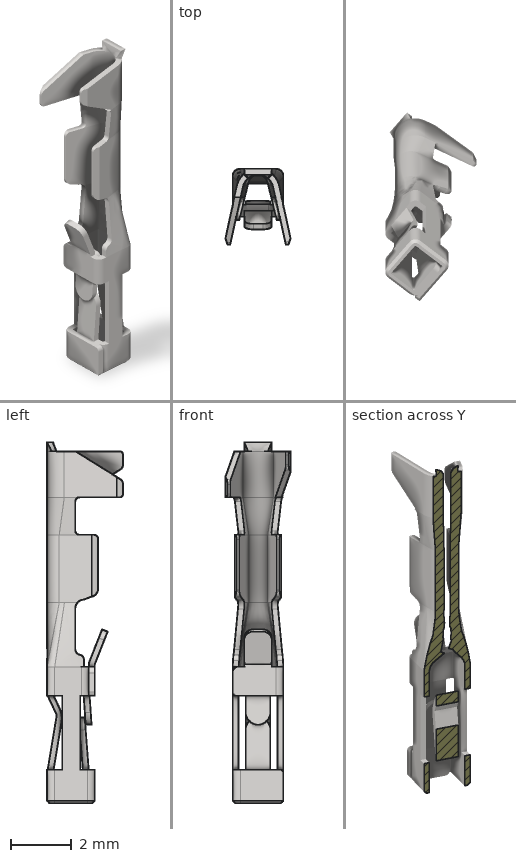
import cadquery as cq
import math


THICK = 0.2

LOWER_BOX_TOP = 1.11
UPPER_BOX_BOTTOM = 3.53
UPPER_BOX_TOP = 4.49
WIRE_BARREL_BOTTOM = 6.6
WIRE_BARREL_TOP = 8.82
WING_BOTTOM = 10.04
WING_TOP = 11.55
TOTAL_HEIGHT = 11.85
WING_MIDDLE = (WING_BOTTOM + WING_TOP) / 2

BOX_WIDTH = 1.67
BOX_DEPTH = 1.58
BOX_HALF = BOX_WIDTH / 2
BEND_RADIUS = 0.25
INNER_FLAP_DEPTH = BOX_DEPTH - THICK
INNER_FLAP_END = 0.52
TUCKED_ROUND = 0.18
FLAP_ROUND = 0.13
UPPER_FLAP_TOP_ROUND = 0.2
BOTTOM_CHAMFER = 0.1
RAIL_BACK = 0.5
RAIL_FRONT = 1.1

LEAF_HALF = 0.4
CONTACT_PEAK_DEPTH = 0.52
CONTACT_PEAK_HEIGHT = 2.9
CONTACT_END_INSET = 0.02
CONTACT_CREST_RADIUS = 0.77
LOCK_TIP_HEIGHT = 2.58
LOCK_TIP_DEPTH = 1.47
LOCK_ROOT_HEIGHT = 3.97
STOP_TIP_HEIGHT = 2.82
STOP_TIP_DEPTH = 1.25
LANCE_HALF = 0.45
LANCE_BEND_HEIGHT = 4.61
LANCE_LENGTH = 1.18
LANCE_TILT = 21.5
LANCE_ROUND = 0.3

WING_RADIUS = 0.71
WING_SPREAD = 12.3
WING_DEPTH = 2.5
WIRE_RADIUS = 0.52
WIRE_SPREAD = 13.8
WIRE_DEPTH = 1.68
WIRE_CREASE_DEPTH = 0.57
BEVEL_LENGTH = 0.21
BEVEL_SIZE = 0.12

NECK_DEPTH = 0.94
NECK_ROUND = 0.13
SHOULDER_DEPTH = 1.22
SHOULDER_BOTTOM = 4.7
SHOULDER_TOP = 5.06
WIRE_TOP_ROUND = 0.14
WIRE_TAPER_DEPTH = 1.21
WIRE_TAPER_HEIGHT = 6.68
WIRE_FLARE_START = 6.39
WIRE_TIP_BOTTOM = 6.78
WIRE_BOTTOM_ROUND = 0.28
WIRE_BOTTOM_RISE = 0.32
WIRE_BOTTOM_RUN = 0.23
WING_TIP_HEIGHT = 0.55
WING_ROUND = 0.12
WING_SLANT_ROUND = 0.2

LIP_HALF = 0.45


def side_plate(points, x_start, x_end):
    """Flat outline of (depth, height) points, extruded along X."""
    outline = [(-depth, height) for depth, height in points]
    sketch = cq.Workplane("YZ", origin=(x_start, 0, 0)).polyline(outline).close()
    return sketch.extrude(x_end - x_start)


def block(x_range, depth_range, height_range):
    """Rectangular block given by its limits in X, depth and height."""
    size = [abs(limits[1] - limits[0]) for limits in (x_range, depth_range, height_range)]
    corner = (min(x_range), -max(depth_range), min(height_range))
    return cq.Workplane("XY").box(*size, centered=False).translate(corner)



def channel(sheet, radius, spread, tip_depth, flat=0.0, crease=None, bevel=False):
    """Closed U section: back on Y = 0, bends of the outer radius and two straight arms.

    flat is half the width of a flat back; crease is a depth where each arm is split in two.
    """
    lean = math.radians(spread)
    bend_end = math.pi / 2 - lean

    def on_bend(side, bend_radius, angle):
        x = flat + bend_radius * math.sin(angle)
        return side * x, bend_radius * math.cos(angle) - radius

    def on_arm(side, bend_radius, depth):
        x, y = on_bend(1, bend_radius, bend_end)
        return side * (x + (depth + y) * math.tan(lean)), -depth

    def fold(sketch, bend_radius, first):
        """Run from the arm on the first side round the back to the crease of the other arm."""
        start = on_bend(first, bend_radius, bend_end)
        end = on_bend(-first, bend_radius, bend_end)
        if crease:
            sketch = sketch.lineTo(*on_arm(first, bend_radius, crease))
        sketch = sketch.lineTo(*start)
        if flat:
            flat_start = on_bend(first, bend_radius, 0)
            flat_end = on_bend(-first, bend_radius, 0)
            sketch = sketch.threePointArc(on_bend(first, bend_radius, bend_end / 2), flat_start)
            sketch = sketch.lineTo(*flat_end)
            sketch = sketch.threePointArc(on_bend(-first, bend_radius, bend_end / 2), end)
        else:
            sketch = sketch.threePointArc(on_bend(first, bend_radius, 0), end)
        if crease:
            sketch = sketch.lineTo(*on_arm(-first, bend_radius, crease))
        return sketch

    inner = radius - THICK
    outer_depth = tip_depth - BEVEL_LENGTH if bevel else tip_depth
    sketch = sheet.moveTo(*on_arm(-1, radius, outer_depth))
    sketch = fold(sketch, radius, -1).lineTo(*on_arm(1, radius, outer_depth))
    if bevel:
        sketch = sketch.lineTo(*on_arm(1, radius - BEVEL_SIZE, tip_depth))
    sketch = sketch.lineTo(*on_arm(1, inner, tip_depth))
    sketch = fold(sketch, inner, 1).lineTo(*on_arm(-1, inner, tip_depth))
    if bevel:
        sketch = sketch.lineTo(*on_arm(-1, radius - BEVEL_SIZE, tip_depth))
    return sketch.close()


def channel_at(height, *shape, **options):
    return channel(cq.Workplane("XY", origin=(0, 0, height)), *shape, **options)


def neck(bottom, top):
    """Ruled transition between two channel sections."""
    wires = [bottom.wires().val(), top.wires().val()]
    return cq.Workplane("XY").add(cq.Solid.makeLoft(wires, True))


def wing_outline(side):
    """Slanted wing; the right one is the left one turned upside down."""
    points = [
        (0, WING_TOP),
        (NECK_DEPTH, WING_TOP),
        (WING_DEPTH, WING_BOTTOM + WING_TIP_HEIGHT),
        (WING_DEPTH, WING_BOTTOM),
        (0, WING_BOTTOM),
    ]
    plate = side_plate(points, -WING_DEPTH, 0)
    plate = plate.edges("|X").edges("<Y").edges("<Z").fillet(WING_ROUND)
    slant_corner = (0, -WING_DEPTH, WING_BOTTOM + WING_TIP_HEIGHT)
    plate = plate.edges("|X").edges(cq.NearestToPointSelector(slant_corner)).fillet(WING_SLANT_ROUND)
    if side > 0:
        plate = plate.rotate((0, 0, WING_MIDDLE), (0, 1, WING_MIDDLE), 180)
    return plate


def wings():
    section = channel_at(WING_BOTTOM, WING_RADIUS, WING_SPREAD, WING_DEPTH, bevel=True)
    outline = wing_outline(-1).union(wing_outline(1))
    return section.extrude(WING_TOP - WING_BOTTOM).intersect(outline)


def wire_outline():
    """Side outline of the wire barrel with the necks above and below it."""
    taper_end = WIRE_DEPTH - WIRE_BOTTOM_RUN
    curve_middle = (SHOULDER_DEPTH + NECK_DEPTH) / 2, (SHOULDER_BOTTOM + SHOULDER_TOP) / 2
    diagonal = math.sqrt(0.5)
    sketch = (
        cq.Workplane("YZ", origin=(-BOX_WIDTH, 0, 0))
        .moveTo(0, UPPER_BOX_TOP)
        .lineTo(-SHOULDER_DEPTH, UPPER_BOX_TOP)
        .lineTo(-SHOULDER_DEPTH, SHOULDER_BOTTOM)
        .tangentArcPoint((-curve_middle[0], curve_middle[1]), relative=False)
        .tangentArcPoint((-NECK_DEPTH, SHOULDER_TOP), relative=False)
        .lineTo(-NECK_DEPTH, WIRE_FLARE_START)
        .threePointArc(
            (
                -WIRE_TAPER_DEPTH + (WIRE_TAPER_DEPTH - NECK_DEPTH) * diagonal,
                WIRE_FLARE_START + (WIRE_TAPER_HEIGHT - WIRE_FLARE_START) * diagonal,
            ),
            (-WIRE_TAPER_DEPTH, WIRE_TAPER_HEIGHT),
        )
        .lineTo(-taper_end, WIRE_TIP_BOTTOM)
        .radiusArc((-WIRE_DEPTH, WIRE_TIP_BOTTOM + WIRE_BOTTOM_RISE), WIRE_BOTTOM_ROUND)
        .lineTo(-WIRE_DEPTH, WIRE_BARREL_TOP - WIRE_TOP_ROUND)
        .radiusArc((WIRE_TOP_ROUND - WIRE_DEPTH, WIRE_BARREL_TOP), WIRE_TOP_ROUND)
        .lineTo(-NECK_DEPTH - NECK_ROUND, WIRE_BARREL_TOP)
        .radiusArc((-NECK_DEPTH, WIRE_BARREL_TOP + NECK_ROUND), -NECK_ROUND)
        .lineTo(-NECK_DEPTH, WING_BOTTOM - NECK_ROUND)
        .radiusArc((-NECK_DEPTH - NECK_ROUND, WING_BOTTOM), -NECK_ROUND)
        .lineTo(0, WING_BOTTOM)
        .close()
    )
    return sketch.extrude(2 * BOX_WIDTH)


def wire_barrel_and_necks():
    wire = (WIRE_RADIUS, WIRE_SPREAD)
    barrel = channel_at(WIRE_BARREL_BOTTOM, *wire, WIRE_DEPTH, bevel=True)
    barrel = barrel.extrude(WIRE_BARREL_TOP - WIRE_BARREL_BOTTOM)
    upper_neck = neck(
        channel_at(WIRE_BARREL_TOP, *wire, SHOULDER_DEPTH),
        channel_at(WING_BOTTOM, WING_RADIUS, WING_SPREAD, SHOULDER_DEPTH),
    )
    box_flat = BOX_HALF - BEND_RADIUS
    lower_neck = neck(
        channel_at(UPPER_BOX_TOP, BEND_RADIUS, 0, SHOULDER_DEPTH, flat=box_flat),
        channel_at(WIRE_BARREL_BOTTOM, *wire, SHOULDER_DEPTH, crease=WIRE_CREASE_DEPTH),
    )
    return barrel.union(upper_neck).union(lower_neck).intersect(wire_outline())


def lip():
    """Back edge of the wings flared from the round channel to a flat top edge."""
    inner = WING_RADIUS - THICK
    ratio = inner / WING_RADIUS
    end_y = math.sqrt(WING_RADIUS**2 - LIP_HALF**2)
    round_edge = (
        cq.Workplane("XY", origin=(0, 0, WING_TOP))
        .moveTo(-LIP_HALF, end_y - WING_RADIUS)
        .threePointArc((0, 0), (LIP_HALF, end_y - WING_RADIUS))
        .lineTo(LIP_HALF * ratio, end_y * ratio - WING_RADIUS)
        .threePointArc((0, -THICK), (-LIP_HALF * ratio, end_y * ratio - WING_RADIUS))
        .close()
    )
    flat_edge = (
        cq.Workplane("XY", origin=(0, 0, TOTAL_HEIGHT))
        .moveTo(-LIP_HALF, 0)
        .lineTo(LIP_HALF, 0)
        .lineTo(LIP_HALF, -THICK)
        .lineTo(-LIP_HALF, -THICK)
        .close()
    )
    return neck(round_edge, flat_edge)



def ring(depth, bottom, top):
    """Closed rectangular tube with bent corners."""
    tube = block((-BOX_HALF, BOX_HALF), (0, depth), (bottom, top)).edges("|Z").fillet(BEND_RADIUS)
    hollow = block((THICK - BOX_HALF, BOX_HALF - THICK), (THICK, depth - THICK), (bottom, top))
    return tube.cut(hollow.edges("|Z").fillet(BEND_RADIUS - THICK))


def folded_box(side, bottom, top, top_round):
    """Box whose outer flap comes from the wall on the given side and laps over the inner flap."""
    heights = (bottom, top)
    flap_half = block((0, side * BOX_HALF), (0, BOX_DEPTH), heights)
    tucked_half = block((0, -side * BOX_HALF), (0, BOX_DEPTH), heights)
    free_end = "<X" if side > 0 else ">X"
    free_end_top = cq.NearestToPointSelector((-side * BOX_HALF, -BOX_DEPTH, top))
    inner_end = ">X" if side > 0 else "<X"
    outer_flap = block((0, -side * BOX_HALF), (INNER_FLAP_DEPTH, BOX_DEPTH), heights)
    outer_flap = outer_flap.edges("|Y").edges(free_end).edges("<Z").fillet(FLAP_ROUND)
    outer_flap = outer_flap.edges("|Y").edges(free_end_top).fillet(top_round)
    inner_flap = block((0, side * INNER_FLAP_END), (INNER_FLAP_DEPTH - THICK, INNER_FLAP_DEPTH), heights)
    inner_flap = inner_flap.faces(inner_end).edges("|Y").fillet(TUCKED_ROUND)
    walls = ring(BOX_DEPTH, bottom, top).intersect(flap_half)
    walls = walls.union(ring(INNER_FLAP_DEPTH, bottom, top).intersect(tucked_half))
    return walls.union(outer_flap).union(inner_flap)


def lower_box():
    envelope = block((-BOX_HALF, BOX_HALF), (0, BOX_DEPTH), (0, LOWER_BOX_TOP))
    envelope = envelope.edges("|Z and (<X or >Y)").fillet(BEND_RADIUS)
    envelope = envelope.faces("<Z").chamfer(BOTTOM_CHAMFER)
    return folded_box(-1, 0, LOWER_BOX_TOP, FLAP_ROUND).intersect(envelope)


def rails():
    heights = (LOWER_BOX_TOP, UPPER_BOX_BOTTOM)
    depths = (RAIL_BACK, RAIL_FRONT)
    left = block((-BOX_HALF, THICK - BOX_HALF), depths, heights)
    return left.union(left.mirror("YZ"))



def contact_spring():
    """Bent strip in the back window, bowed inwards."""
    back_face = [
        (CONTACT_END_INSET, LOWER_BOX_TOP),
        (CONTACT_PEAK_DEPTH - THICK, CONTACT_PEAK_HEIGHT),
        (CONTACT_END_INSET, UPPER_BOX_BOTTOM),
    ]
    front_face = [(depth + THICK, height) for depth, height in reversed(back_face)]
    spring = side_plate(back_face + front_face, -LEAF_HALF, LEAF_HALF)
    crest = (0, -CONTACT_PEAK_DEPTH, CONTACT_PEAK_HEIGHT)
    return spring.edges("|X").edges(cq.NearestToPointSelector(crest)).fillet(CONTACT_CREST_RADIUS)


def tongue(root_height, tip_height, tip_depth):
    """Leaning leaf from an inner flap to a fully rounded tip, above or below its root."""
    points = [
        (INNER_FLAP_DEPTH, root_height),
        (tip_depth, tip_height),
        (tip_depth - THICK, tip_height),
        (INNER_FLAP_DEPTH - THICK, root_height),
    ]
    round_start = tip_height - math.copysign(LEAF_HALF, tip_height - root_height)
    shape = (
        cq.Workplane("XZ")
        .moveTo(-LEAF_HALF, root_height)
        .lineTo(-LEAF_HALF, round_start)
        .threePointArc((0, tip_height), (LEAF_HALF, round_start))
        .lineTo(LEAF_HALF, root_height)
        .close()
        .extrude(BOX_DEPTH)
    )
    return side_plate(points, -LEAF_HALF, LEAF_HALF).intersect(shape)


def lance():
    """Plate rising from the outer flap of the upper box, tilted outwards."""
    width = (-LANCE_HALF, LANCE_HALF)
    depths = (INNER_FLAP_DEPTH, BOX_DEPTH)
    root = block(width, depths, (UPPER_BOX_TOP, LANCE_BEND_HEIGHT))
    plate = block(width, depths, (LANCE_BEND_HEIGHT, LANCE_BEND_HEIGHT + LANCE_LENGTH))
    plate = plate.faces(">Z").edges("|Y").fillet(LANCE_ROUND)
    pivot = cq.Vector(0, -INNER_FLAP_DEPTH, LANCE_BEND_HEIGHT)
    return root.union(plate.rotate(pivot, pivot + cq.Vector(0.12, 0, 0), LANCE_TILT))


parts = [
    lower_box(),
    rails(),
    folded_box(1, UPPER_BOX_BOTTOM, UPPER_BOX_TOP, UPPER_FLAP_TOP_ROUND),
    contact_spring(),
    tongue(LOCK_ROOT_HEIGHT, LOCK_TIP_HEIGHT, LOCK_TIP_DEPTH),
    tongue(LOWER_BOX_TOP, STOP_TIP_HEIGHT, STOP_TIP_DEPTH),
    lance(),
    wire_barrel_and_necks(),
    wings(),
    lip(),
]
body = parts[0]
for part in parts[1:]:
    body = body.union(part)
result = body